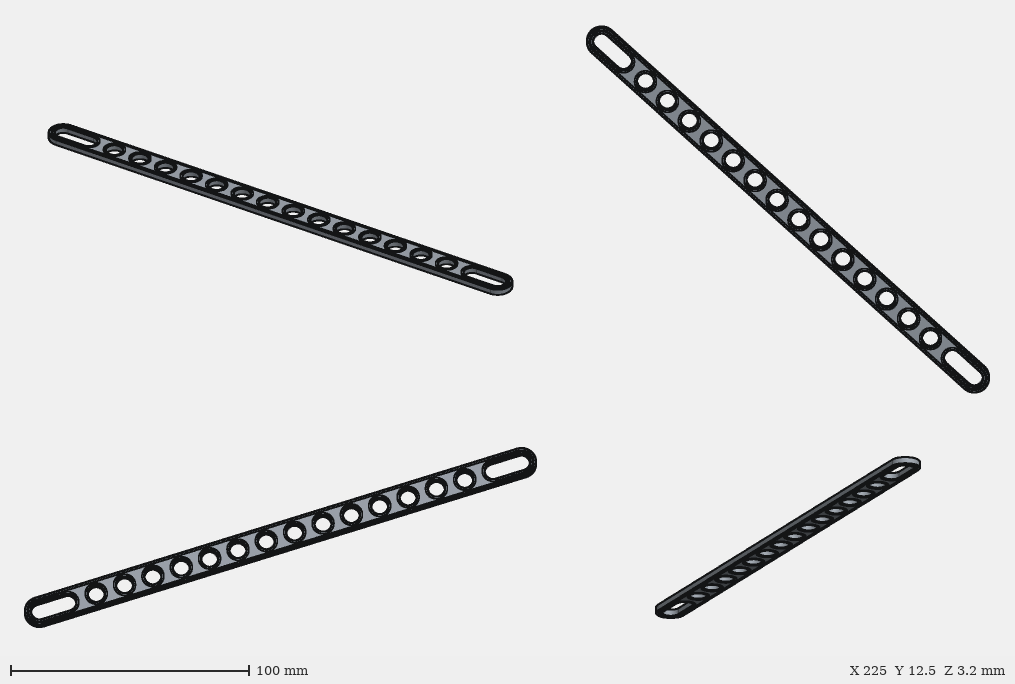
import cadquery as cq

length = 225.0
pitch_count = 18
hole_count = 14
thickness = 3.2
hole_diameter = 7.0
rim_diameter = 9.2
edge_chamfer = 0.32
recess_depth = 0.2

pitch = length / pitch_count
width = pitch
rim_width = (rim_diameter - hole_diameter) / 2
slot_length = pitch + hole_diameter
slot_center = (length - width - pitch) / 2


def extrude_both(outline):
    """Extrude an outline through the full thickness, centred on the XY plane."""
    return outline.extrude(thickness / 2, both=True)


def bar_blank(inset=0):
    """Flat bar with fully rounded ends, its outline moved inwards by inset."""
    return extrude_both(cq.Workplane("XY").slot2D(length - 2 * inset, width - 2 * inset))


def openings(margin=0):
    """Row of round holes with a lengthwise slot at each end, enlarged all round by margin."""
    diameter = hole_diameter + 2 * margin
    holes = cq.Workplane("XY").rarray(pitch, 2.2, hole_count, 1).circle(diameter / 2)
    slots = (
        cq.Workplane("XY")
        .pushPoints([(-slot_center, 0), (slot_center, 0)])
        .slot2D(slot_length + 2 * margin, diameter)
    )
    return extrude_both(holes).union(extrude_both(slots))


bar = bar_blank().cut(openings()).faces("|Z").edges().chamfer(edge_chamfer)

panels = bar_blank(rim_width).cut(openings(rim_width))
recess_shift = thickness - recess_depth
upper_recess = panels.translate((0, 0, recess_shift))
lower_recess = panels.translate((0, 0, -recess_shift))

result = bar.cut(upper_recess).cut(lower_recess)